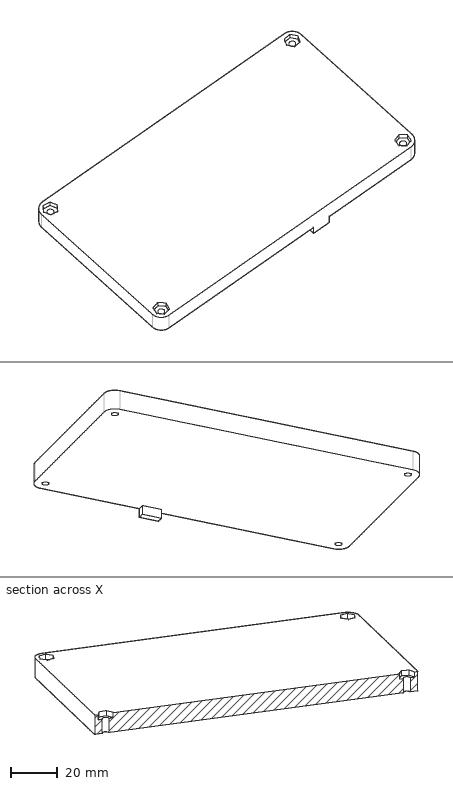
import cadquery as cq

LENGTH = 148.0
WIDTH = 82.0
TOTAL_HEIGHT = 13.2
PLATE_THICKNESS = 9.0
CORNER_RADIUS = 5.0

HOLE_DIAMETER = 3.0
HOLE_X = WIDTH / 2 - CORNER_RADIUS
HOLE_Y = LENGTH / 2 - CORNER_RADIUS

NUT_CORNER_DIAMETER = 7.0
NUT_POCKET_DEPTH = 2.4
SCREW_CORNERS = [
    (-1, 1, 35),
    (1, 1, 47),
    (-1, -1, 23),
    (1, -1, 43),
]

TAB_WIDTH = 3.4
TAB_TIP_WIDTH = 3.3
TAB_LENGTH = 9.0
TAB_CENTER_Y = 18.0
TAB_HEIGHT = TOTAL_HEIGHT - PLATE_THICKNESS


def make_plate():
    """Rounded rectangular plate with its underside at Z = 0."""
    plate = cq.Workplane("XY").rect(WIDTH, LENGTH).extrude(PLATE_THICKNESS)
    return plate.edges("|Z").fillet(CORNER_RADIUS)


def make_tab():
    """Block hanging below the plate along its +X side, slightly narrower at its tip."""
    outer_x = WIDTH / 2
    profile = [
        (outer_x, 0),
        (outer_x - TAB_WIDTH, 0),
        (outer_x - TAB_TIP_WIDTH, -TAB_HEIGHT),
        (outer_x, -TAB_HEIGHT),
    ]
    tab = cq.Workplane("XZ").polyline(profile).close().extrude(TAB_LENGTH / 2, both=True)
    return tab.translate((0, TAB_CENTER_Y, 0))


def make_screw_cutter(nut_angle):
    """Through hole topped by a hexagonal nut pocket, centred on the Z axis."""
    hole = cq.Workplane("XY").circle(HOLE_DIAMETER / 2).extrude(PLATE_THICKNESS)
    pocket = (
        cq.Workplane("XY", origin=(0, 0, PLATE_THICKNESS - NUT_POCKET_DEPTH))
        .polygon(6, NUT_CORNER_DIAMETER)
        .extrude(NUT_POCKET_DEPTH)
        .rotate((0, 0, 0), (0, 0, 1), nut_angle)
    )
    return hole.union(pocket)


result = make_plate().union(make_tab())
for side_x, side_y, nut_angle in SCREW_CORNERS:
    cutter = make_screw_cutter(nut_angle)
    result = result.cut(cutter.translate((side_x * HOLE_X, side_y * HOLE_Y, 0)))